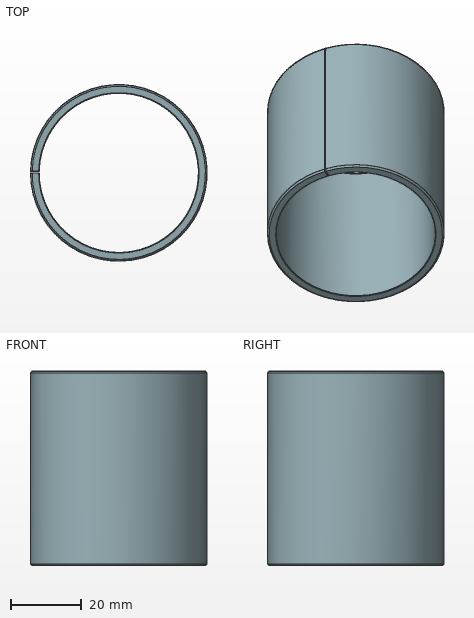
import cadquery as cq

length = 55.0
outer_diameter = 50.0
wall_thickness = 2.5
outer_chamfer = 0.5
inner_chamfer = 0.15
gap_angle = 1.0

outer_radius = outer_diameter / 2
inner_radius = outer_radius - wall_thickness

wall_section = [
    (-inner_radius, inner_chamfer),
    (-inner_radius - inner_chamfer, 0),
    (-outer_radius + outer_chamfer, 0),
    (-outer_radius, outer_chamfer),
    (-outer_radius, length - outer_chamfer),
    (-outer_radius + outer_chamfer, length),
    (-inner_radius - inner_chamfer, length),
    (-inner_radius, length - inner_chamfer),
]

result = (
    cq.Workplane("XZ")
    .polyline(wall_section)
    .close()
    .revolve(360 - gap_angle, (0, 0), (0, 1))
)